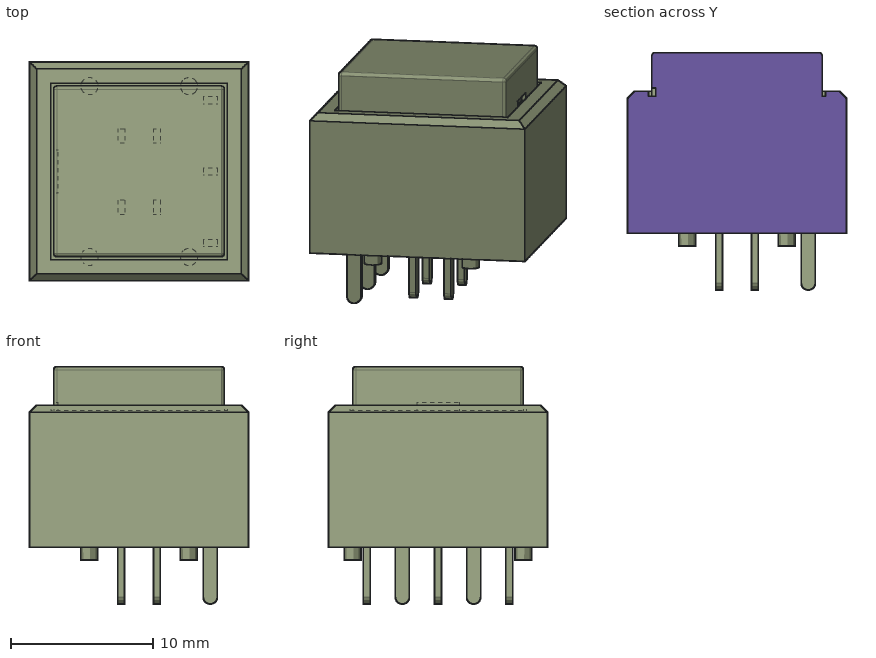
import cadquery as cq

HOUSING_SIDE = 15.4
HOUSING_HEIGHT = 10.0
RIM_CHAMFER = 0.5
OPENING_SIDE = 12.4
OPENING_DEPTH = 0.35

CAP_SIDE = 12.0
CAP_PROTRUSION = 2.7
CAP_FILLET = 0.23
CAP_TOP = HOUSING_HEIGHT + CAP_PROTRUSION
OPENING_FLOOR = HOUSING_HEIGHT - OPENING_DEPTH

NOTCH_WIDTH = 3.0
NOTCH_DEPTH = 0.28
NOTCH_RISE = 0.2

PIN_LENGTH = 3.99
PIN_WIDTH = 1.0
PIN_THICKNESS = 0.5
GRID = 2.5
CONTACT_PIN_POSITIONS = [(2 * GRID, y) for y in (-2 * GRID, 0, 2 * GRID)]
LAMP_PIN_POSITIONS = [(x, y) for x in (-GRID / 2, GRID / 2) for y in (-GRID, GRID)]

PEG_DIAMETER = 1.2
PEG_LENGTH = 0.9
PEG_SPACING_X = 7.0
PEG_SPACING_Y = 12.0


def make_housing():
    """Chamfered block with a square opening in its top."""
    return (
        cq.Workplane("XY")
        .rect(HOUSING_SIDE, HOUSING_SIDE)
        .extrude(HOUSING_HEIGHT)
        .faces(">Z")
        .chamfer(RIM_CHAMFER)
        .faces(">Z")
        .workplane()
        .rect(OPENING_SIDE, OPENING_SIDE)
        .cutBlind(-OPENING_DEPTH)
    )


def make_cap():
    """Rounded square cap standing on the floor of the opening, notched on its -X face."""
    cap = (
        cq.Workplane("XY", origin=(0, 0, OPENING_FLOOR))
        .rect(CAP_SIDE, CAP_SIDE)
        .extrude(CAP_TOP - OPENING_FLOOR)
        .edges("|Z or >Z")
        .fillet(CAP_FILLET)
    )
    notch = (
        cq.Workplane("XY", origin=(-CAP_SIDE / 2, 0, OPENING_FLOOR))
        .rect(2 * NOTCH_DEPTH, NOTCH_WIDTH)
        .extrude(OPENING_DEPTH + NOTCH_RISE)
    )
    return cap.cut(notch)


def make_pin(x, y, turn):
    """Flat terminal under the housing, wide along X and turned about its own axis by turn degrees."""
    half_width = PIN_WIDTH / 2
    tip_start = -PIN_LENGTH + half_width
    pin = (
        cq.Workplane("XZ")
        .moveTo(-half_width, 0)
        .lineTo(-half_width, tip_start)
        .threePointArc((0, -PIN_LENGTH), (half_width, tip_start))
        .lineTo(half_width, 0)
        .close()
        .extrude(PIN_THICKNESS / 2, both=True)
    )
    return pin.rotate((0, 0, 0), (0, 0, 1), turn).translate((x, y, 0))


def make_pegs():
    """Four locating pegs under the housing."""
    return (
        cq.Workplane("XY")
        .rect(PEG_SPACING_X, PEG_SPACING_Y, forConstruction=True)
        .vertices()
        .circle(PEG_DIAMETER / 2)
        .extrude(-PEG_LENGTH)
    )


result = make_housing().union(make_cap()).union(make_pegs())
for pin_x, pin_y in CONTACT_PIN_POSITIONS:
    result = result.union(make_pin(pin_x, pin_y, 0))
for pin_x, pin_y in LAMP_PIN_POSITIONS:
    result = result.union(make_pin(pin_x, pin_y, 90))